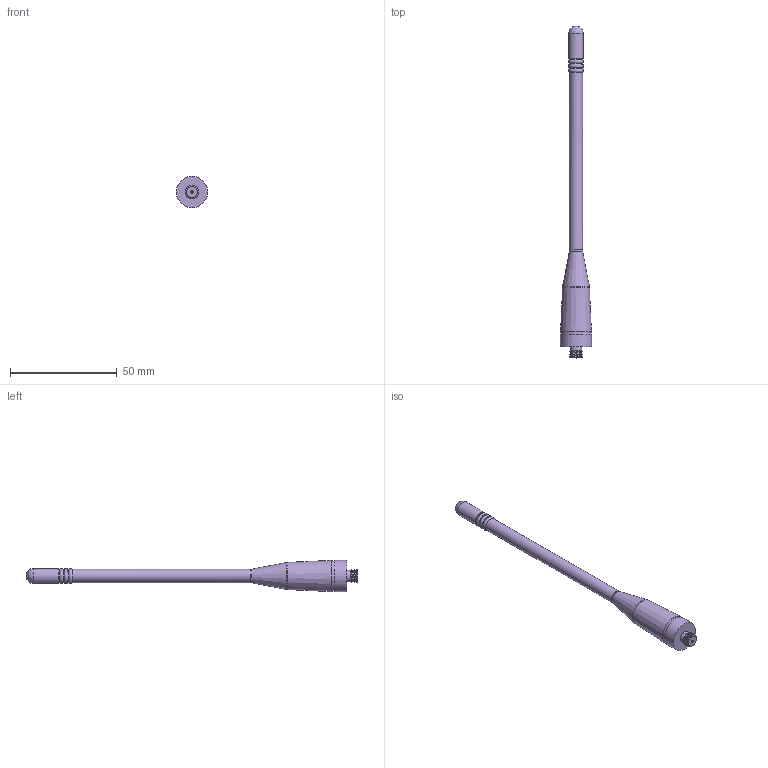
import cadquery as cq
import math


collar_radius = 7.3
collar_length = 5.75
collar_groove_width = 1.4
collar_groove_depth = 0.25
grip_end = 28.0
grip_end_radius = 6.35
cone_end = 45.0
blend_length = 0.5

rod_radius = 3.1
tip_end = 150.0
cap_radius = 3.5
cap_length = 15.2
dome_radius = 3.4
ring_count = 3
ring_pitch = 2.15
ring_width = 1.6

connector_length = 5.25
neck_radius = 2.65
ridge_radius = 3.1
ridge_count = 3
ridge_pitch = 1.3
ridge_crest_width = 0.3
ridge_flank_width = 0.25
socket_radius = 0.5
socket_depth = 3.0


def turned(outline):
    """Revolve a closed (Y, radius) outline a full turn about the Y axis."""
    return outline.close().revolve(360, (0, 0, 0), (1, 0, 0))


def blend_radius(slope_before, slope_after):
    """Radius of an arc of about blend_length joining two tapers."""
    turn = abs(math.atan(slope_before) - math.atan(slope_after))
    return blend_length / turn


def round_circle(shape, y, radius):
    """Fillet the circular edge that lies at height y along the axis."""
    margin = blend_length / 2
    reach = 2 * collar_radius
    lower_corner = (-reach, y - margin, -reach)
    upper_corner = (reach, y + margin, reach)
    near_height = cq.selectors.BoxSelector(lower_corner, upper_corner)
    circular = cq.selectors.TypeSelector("CIRCLE")
    return shape.edges(cq.selectors.AndSelector(near_height, circular)).fillet(radius)


def body_and_rod():
    groove_end = collar_length + collar_groove_width
    groove_radius = collar_radius - collar_groove_depth
    rod_end = tip_end - cap_length
    shape = turned(
        cq.Workplane("YZ")
        .lineTo(0, collar_radius)
        .lineTo(collar_length, collar_radius)
        .lineTo(collar_length, groove_radius)
        .lineTo(groove_end, groove_radius)
        .lineTo(groove_end, collar_radius)
        .lineTo(grip_end, grip_end_radius)
        .lineTo(cone_end, rod_radius)
        .lineTo(rod_end, rod_radius)
        .lineTo(rod_end, 0)
    )
    grip_slope = (collar_radius - grip_end_radius) / (grip_end - groove_end)
    cone_slope = (grip_end_radius - rod_radius) / (cone_end - grip_end)
    shape = round_circle(shape, grip_end, blend_radius(grip_slope, cone_slope))
    return round_circle(shape, cone_end, blend_radius(cone_slope, 0))


def tip_cap():
    """Cylinder with a domed end."""
    cap = turned(
        cq.Workplane("YZ", origin=(0, tip_end - cap_length, 0))
        .lineTo(0, cap_radius)
        .lineTo(cap_length, cap_radius)
        .lineTo(cap_length, 0)
    )
    return cap.faces(">Y").edges().fillet(dome_radius)


def rounded_ring(start):
    """Raised ring with an arched profile reaching the cap radius."""
    return turned(
        cq.Workplane("YZ", origin=(0, start, 0))
        .lineTo(0, rod_radius)
        .threePointArc((ring_width / 2, cap_radius), (ring_width, rod_radius))
        .lineTo(ring_width, 0)
    )


def connector_ridge(start):
    """Trapezoidal ridge around the neck."""
    crest_end = ridge_flank_width + ridge_crest_width
    return turned(
        cq.Workplane("YZ", origin=(0, start, 0))
        .lineTo(0, neck_radius)
        .lineTo(ridge_flank_width, ridge_radius)
        .lineTo(crest_end, ridge_radius)
        .lineTo(crest_end + ridge_flank_width, neck_radius)
        .lineTo(crest_end + ridge_flank_width, 0)
    )


def along_minus_y(start, radius, length):
    """Cylinder on the axis, running from start toward -Y."""
    return cq.Workplane("XZ", origin=(0, start, 0)).circle(radius).extrude(length)


def connector():
    shape = along_minus_y(0, neck_radius, connector_length)
    for index in range(ridge_count):
        shape = shape.union(connector_ridge(index * ridge_pitch - connector_length))
    return shape.cut(along_minus_y(socket_depth - connector_length, socket_radius, socket_depth))


result = body_and_rod().union(tip_cap())
for index in range(ring_count):
    ring_start = tip_end - cap_length - (index + 1) * ring_pitch
    result = result.union(rounded_ring(ring_start))
result = result.union(connector())